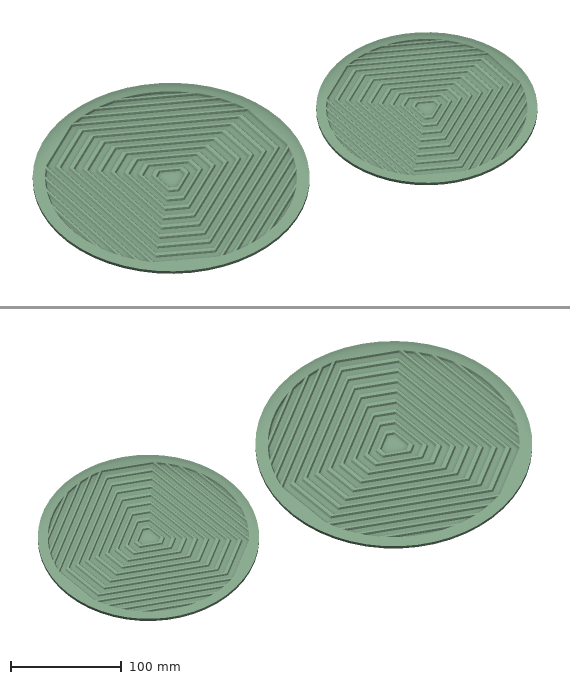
import cadquery as cq
import math

overall_length = 473.8
large_diameter = 250.0
small_diameter = 200.0
plate_thickness = 3.0
small_shift_x = 2.15
small_drop = 0.35
large_ridge_height = 1.5
small_ridge_height = 1.2
flank_angle = 50.0
flank_lean = 90.0 - flank_angle

steps_per_radius = 10
recess_steps = 9
ridge_count = 12
ridge_base_steps = 0.5

long_span = 90
short_span = 30
side_turns = (0, 120, 240)
corner_angles = [turn + corner for turn in side_turns for corner in (0, long_span)]

tip_angles = [turn + long_span / 2 for turn in side_turns]
triangle_tip_per_inradius = 2


def corner_points(radius, angles):
    """Points on a circle about the plate's centre."""
    return [(radius * math.cos(math.radians(a)), radius * math.sin(math.radians(a))) for a in angles]


def hexagon_block(floor, corner_radius, height, lean):
    """Six-sided block; a positive lean narrows it upward, a negative one widens it."""
    return floor.polyline(corner_points(corner_radius, corner_angles)).close().extrude(height, taper=lean)


def ridge_ring(floor, inner_radius, base_width, height):
    """Closed six-sided ridge with a flat top and two sloping flanks."""
    outside = hexagon_block(floor, inner_radius + base_width, height, flank_lean)
    inside = hexagon_block(floor, inner_radius, height, -flank_lean)
    return outside.cut(inside)


def recess_space(floor, radius, height):
    """Round recess with sloping walls, cut straight along three chords that match the short sides."""
    bowl = floor.circle(radius).extrude(height, taper=-flank_lean)
    chord_distance = radius * math.cos(math.radians(short_span / 2))
    tips = corner_points(triangle_tip_per_inradius * chord_distance, tip_angles)
    triangle = floor.polyline(tips).close().extrude(height, taper=-flank_lean)
    return bowl.intersect(triangle)


def ridged_plate(diameter, ridge_height):
    """Plate standing on Z = 0; the ridge tops are level with its rim."""
    step = diameter / 2 / steps_per_radius
    floor = cq.Workplane("XY").workplane(offset=plate_thickness - ridge_height)
    grooves = recess_space(floor, recess_steps * step, ridge_height)
    for number in range(1, ridge_count + 1):
        grooves = grooves.cut(ridge_ring(floor, number * step, ridge_base_steps * step, ridge_height))
    return cq.Workplane("XY").circle(diameter / 2).extrude(plate_thickness).cut(grooves)


center_distance = overall_length - (large_diameter + small_diameter) / 2

large_plate = ridged_plate(large_diameter, large_ridge_height)
small_plate = ridged_plate(small_diameter, small_ridge_height)
small_plate = small_plate.translate((small_shift_x, center_distance, -small_drop))

result = cq.Compound.makeCompound([large_plate.val(), small_plate.val()])